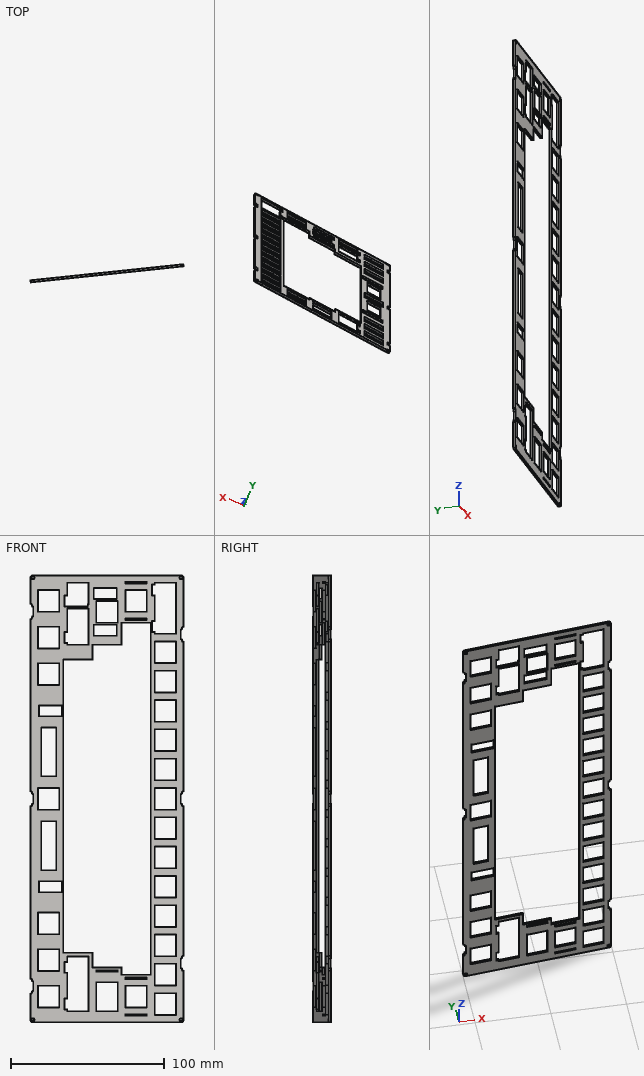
import cadquery as cq
import math

length = 290.5
thickness = 1.5
turn_angle = math.radians(6)
corner_radius = 1.85
corner_hole_diameter = 1.85
corner_hole_inset = 1.63

row_count = 5
units_per_row = 15
margin = 2.38
pitch = (length - 2 * margin) / units_per_row
steps_per_key = 8
width = row_count * pitch + 2 * margin

switch_size = 14.0
stabilizer_width = 15.0
stabilizer_length = 7.0
stabilizer_spread = 12.0
stabilizer_shift = 1.2

spacebar_slot_width = 10.0
spacebar_slot_length = 31.7
spacebar_slot_spread = 30.5
spacebar_stabilizer_spread = 3 * pitch

slit_thickness = 1.0
slit_spread = 12.0
slit_inset = 2.3
slit_keys = (6, 114)
slit_step = 14

notch_length = 10.0
notch_radius = 0.93
left_notch_spread = 121.7
right_notch_spread = 107.0

switches = [
    *[(0, eighths, eighths) for eighths in (6, 16, 26, 60, 94, 104, 114)],
    (1, 5, 14),
    (1, 105, 109),
    (1, 116, 116),
    (2, 5, 7),
    (2, 111, 111),
    *[(3, eighths, eighths) for eighths in slit_keys],
    *[(4, eighths, eighths) for eighths in range(4, 104, steps_per_key)],
    (4, 108, 116),
]

stabilized_keys = [(1, 9), (1, 109), (2, 111), (4, 112)]

middle_steps = [(1, 18, 98), (2, slit_step, 102), (3, 12, 108)]

face = cq.Plane(
    origin=(0, 0, 0),
    xDir=(math.cos(turn_angle), math.sin(turn_angle), 0),
    normal=(math.sin(turn_angle), -math.cos(turn_angle), 0),
)


def row_x(row):
    """Place of a row's centre line across the plate, from the plate centre."""
    return (row + 0.5) * pitch + margin - width / 2


def key_z(eighths):
    """Place of a key position, in eighths of a key, along the plate, from the plate centre."""
    return eighths * pitch / steps_per_key + margin - length / 2


def box_cutter(size_x, z_low, z_high, x):
    """Rectangular cutter through the plate, centred on x across the width."""
    outline = cq.Workplane(face).center(x, (z_low + z_high) / 2).rect(size_x, z_high - z_low)
    return outline.extrude(thickness, both=True)


def centred_cutter(size_x, size_z, x, z):
    """Rectangular cutter through the plate, centred on a point."""
    return box_cutter(size_x, z - size_z / 2, z + size_z / 2, x)


def base_plate():
    """Plain plate with rounded corners."""
    outline = cq.Sketch().rect(width, length).vertices().fillet(corner_radius)
    return cq.Workplane(face).placeSketch(outline).extrude(thickness / 2, both=True)


def corner_hole_cutters():
    """Small through holes close to the four corners."""
    hole_x = width / 2 - corner_hole_inset
    hole_z = length / 2 - corner_hole_inset
    return [
        cq.Workplane(face).center(side_x * hole_x, side_z * hole_z)
        .circle(corner_hole_diameter / 2).extrude(thickness, both=True)
        for side_x in (-1, 1)
        for side_z in (-1, 1)
    ]


def middle_cutters():
    """Stepped opening inside the ring of keys."""
    return [box_cutter(pitch, key_z(low), key_z(high), row_x(row)) for row, low, high in middle_steps]


def switch_cutters():
    """Square switch openings, lengthened where a key has two switch positions."""
    half = switch_size / 2
    return [
        box_cutter(switch_size, key_z(first) - half, key_z(last) + half, row_x(row))
        for row, first, last in switches
    ]


def stabilizer_cutters():
    """Pairs of stabilizer openings; the spacebar pair is shifted the opposite way."""
    places = []
    for side in (-1, 1):
        for row, eighths in stabilized_keys:
            places.append((row_x(row) - stabilizer_shift, key_z(eighths) + side * stabilizer_spread))
        places.append((row_x(0) + stabilizer_shift, side * spacebar_stabilizer_spread))
    return [centred_cutter(stabilizer_width, stabilizer_length, x, z) for x, z in places]


def spacebar_slot_cutters():
    """Two long slots, one on each side of the spacebar switch."""
    return [
        centred_cutter(spacebar_slot_width, spacebar_slot_length, row_x(0), side * spacebar_slot_spread)
        for side in (-1, 1)
    ]


def slit_cutters():
    """Slits on both sides of the two row 3 keys, and one by the middle opening in row 2."""
    places = [(row_x(2), key_z(slit_step) - slit_inset)]
    for eighths in slit_keys:
        for side in (-1, 1):
            places.append((row_x(3), key_z(eighths) + side * slit_spread))
    return [centred_cutter(switch_size, slit_thickness, x, z) for x, z in places]


def notch_cutter(side, z):
    """Notch in the left (side -1) or right (side 1) long edge, with S-shaped flanks."""
    edge = side * width / 2
    middle = edge - side * notch_radius
    floor = middle - side * notch_radius
    half_mouth = notch_length / 2
    half_middle = half_mouth - notch_radius
    half_floor = half_middle - notch_radius
    outline = (
        cq.Workplane(face)
        .moveTo(edge, z - half_mouth)
        .radiusArc((middle, z - half_middle), side * notch_radius)
        .radiusArc((floor, z - half_floor), -side * notch_radius)
        .lineTo(floor, z + half_floor)
        .radiusArc((middle, z + half_middle), -side * notch_radius)
        .radiusArc((edge, z + half_mouth), side * notch_radius)
    )
    return outline.close().extrude(thickness, both=True)


def notch_cutters():
    """Three notches in each long edge."""
    return [
        notch_cutter(side, z)
        for side, spread in ((-1, left_notch_spread), (1, right_notch_spread))
        for z in (-spread, 0, spread)
    ]


cutters = (
    corner_hole_cutters()
    + middle_cutters()
    + switch_cutters()
    + stabilizer_cutters()
    + spacebar_slot_cutters()
    + slit_cutters()
    + notch_cutters()
)

result = base_plate()
for cutter in cutters:
    result = result.cut(cutter)